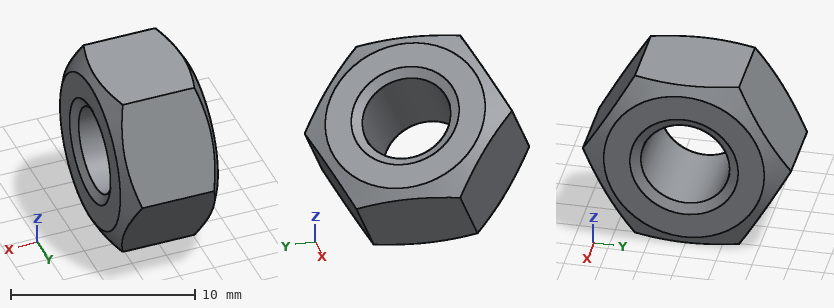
import cadquery as cq
import math

across_corners = 11.55
thickness = 5.7
bore_diameter = 4.92
countersink_diameter = 6.01
countersink_angle = 30.0
face_diameter = 8.9
corner_chamfer_angle = 30.0

half_thickness = thickness / 2
corner_radius = across_corners / 2
face_radius = face_diameter / 2
bore_radius = bore_diameter / 2
countersink_radius = countersink_diameter / 2
chamfer_depth = (corner_radius - face_radius) * math.tan(math.radians(corner_chamfer_angle))
countersink_depth = (countersink_radius - bore_radius) * math.tan(math.radians(countersink_angle))


def hexagonal_prism():
    return cq.Workplane("YZ").polygon(6, across_corners).extrude(half_thickness, both=True)


def turned_envelope():
    """Ring turned about X that holds the corner chamfers, bore and countersinks."""
    shoulder = half_thickness - chamfer_depth
    bore_end = half_thickness - countersink_depth
    profile = [
        (-bore_end, bore_radius),
        (-half_thickness, countersink_radius),
        (-half_thickness, face_radius),
        (-shoulder, corner_radius),
        (shoulder, corner_radius),
        (half_thickness, face_radius),
        (half_thickness, countersink_radius),
        (bore_end, bore_radius),
    ]
    return cq.Workplane("XY").polyline(profile).close().revolve(360, (0, 0, 0), (1, 0, 0))


result = hexagonal_prism().intersect(turned_envelope())